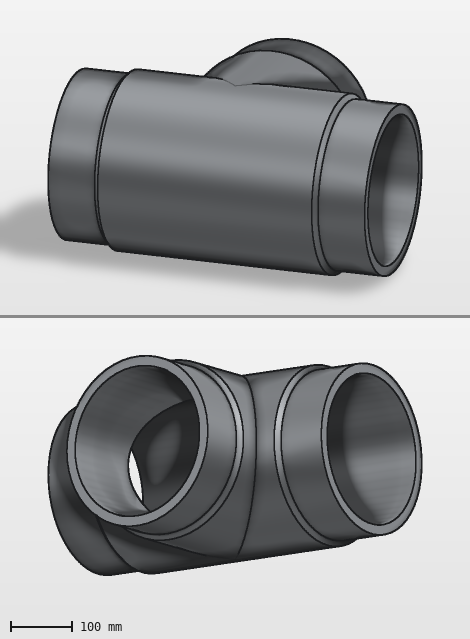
import cadquery as cq

run_length = 543.0
branch_reach = 272.0
body_diameter = 296.5
spigot_diameter = 280.0
bore_diameter = 247.5
spigot_length = 80.0

shoulder_chamfer = (body_diameter - spigot_diameter) / 2
body_length = run_length - 2 * spigot_length
branch_body_reach = branch_reach - spigot_length


def run_cylinder(diameter, length):
    """Cylinder along X, centred on the origin."""
    return cq.Workplane("YZ").circle(diameter / 2).extrude(length / 2, both=True)


def branch_cylinder(diameter, length):
    """Cylinder from the run axis toward +Y."""
    return cq.Workplane("XZ").circle(diameter / 2).extrude(-length)


run_body = run_cylinder(body_diameter, body_length).faces("<X or >X").chamfer(shoulder_chamfer)
run_spigots = run_cylinder(spigot_diameter, run_length)

branch_body = branch_cylinder(body_diameter, branch_body_reach).faces(">Y").chamfer(shoulder_chamfer)
branch_spigot = branch_cylinder(spigot_diameter, branch_reach)

outside = run_body.union(branch_body).union(run_spigots).union(branch_spigot)

run_bore = run_cylinder(bore_diameter, run_length)
branch_bore = branch_cylinder(bore_diameter, branch_reach)

result = outside.cut(run_bore).cut(branch_bore)